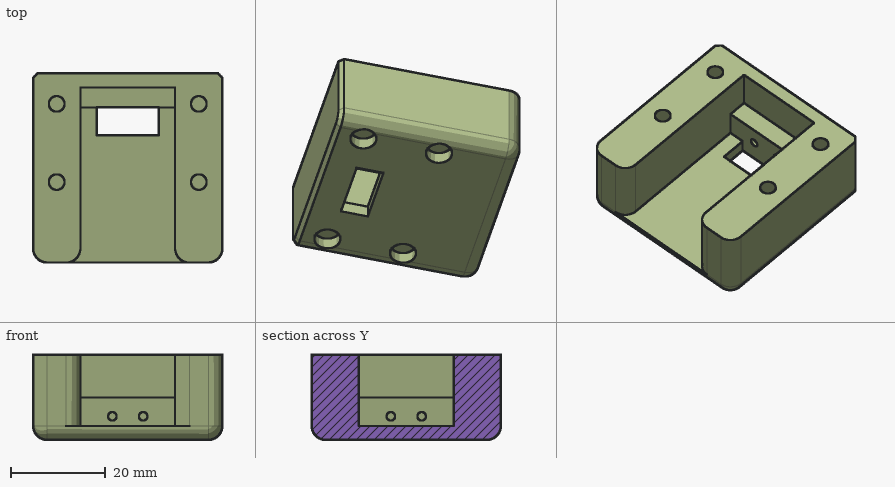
import cadquery as cq

LENGTH_X = 40.0
LENGTH_Y = 40.0
HEIGHT = 18.0
ROUND_RADIUS = 3.0
BACK_CHAMFER = 1.0

SLOT_WIDTH = 20.0
FLOOR_THICKNESS = 3.0
BACK_WALL = 3.0

LEDGE_DEPTH = 4.25
LEDGE_TOP = 9.0
PILOT_DIAMETER = 1.8
PILOT_SPACING = 6.5
PILOT_HEIGHT = 5.0
PILOT_DEPTH = 5.0

WINDOW_WIDTH = 13.0
WINDOW_LENGTH = 5.85

SCREW_DIAMETER = 3.3
SCREW_HEAD_DIAMETER = 5.5
SCREW_HEAD_DEPTH = 3.0
SCREW_WEB = 0.3
SCREW_SPACING_X = 30.0
SCREW_SPACING_Y = 16.5
SCREW_BACK_OFFSET = 6.5

FRONT_Y = -LENGTH_Y / 2
BACK_Y = LENGTH_Y / 2
SLOT_BACK_Y = BACK_Y - BACK_WALL
LEDGE_FRONT_Y = SLOT_BACK_Y - LEDGE_DEPTH


def box_between(width, y_front, y_back, z_bottom, z_top):
    """Box centred on X that spans the given Y and Z ranges."""
    return (
        cq.Workplane("XY")
        .box(width, y_back - y_front, z_top - z_bottom, centered=(True, False, False))
        .translate((0, y_front, z_bottom))
    )


def make_body():
    """Block with rounded front corners and underside and a chamfered back."""
    body = box_between(LENGTH_X, FRONT_Y, BACK_Y, 0, HEIGHT)
    body = body.edges("|Z and <Y").fillet(ROUND_RADIUS)
    body = body.edges("<Z and (not >Y)").fillet(ROUND_RADIUS)
    back_outline = body.faces(">Y").edges("not >Z")
    return back_outline.chamfer(BACK_CHAMFER)


def make_slot():
    """Slot volume above the floor, flared at its mouth and stepped over the ledge."""
    slot = box_between(SLOT_WIDTH, FRONT_Y, SLOT_BACK_Y, FLOOR_THICKNESS, HEIGHT)
    mouth_half_width = SLOT_WIDTH / 2 + ROUND_RADIUS
    mouth_back_y = FRONT_Y + ROUND_RADIUS
    mouth = box_between(2 * mouth_half_width, FRONT_Y, mouth_back_y, FLOOR_THICKNESS, HEIGHT)
    wall_rounds = (
        cq.Workplane("XY", origin=(0, 0, FLOOR_THICKNESS))
        .pushPoints([(side * mouth_half_width, mouth_back_y) for side in (-1, 1)])
        .circle(ROUND_RADIUS)
        .extrude(HEIGHT - FLOOR_THICKNESS)
    )
    ledge = box_between(SLOT_WIDTH, LEDGE_FRONT_Y, SLOT_BACK_Y, FLOOR_THICKNESS, LEDGE_TOP)
    return slot.union(mouth.cut(wall_rounds)).cut(ledge)


def make_window():
    """Rectangular opening through the floor."""
    return box_between(WINDOW_WIDTH, LEDGE_FRONT_Y - WINDOW_LENGTH, LEDGE_FRONT_Y, 0, FLOOR_THICKNESS)


def make_pilot_holes():
    """Blind holes running back into the front face of the ledge."""
    return (
        cq.Workplane("XZ", origin=(0, LEDGE_FRONT_Y, PILOT_HEIGHT))
        .rarray(PILOT_SPACING, 1, 2, 1)
        .circle(PILOT_DIAMETER / 2)
        .extrude(-PILOT_DEPTH)
    )


def make_screw_cylinders(diameter, z_bottom, z_top):
    """One cylinder at each of the four screw positions."""
    pattern_centre_y = BACK_Y - SCREW_BACK_OFFSET - SCREW_SPACING_Y / 2
    return (
        cq.Workplane("XY", origin=(0, pattern_centre_y, z_bottom))
        .rarray(SCREW_SPACING_X, SCREW_SPACING_Y, 2, 2)
        .circle(diameter / 2)
        .extrude(z_top - z_bottom)
    )


screw_shanks = make_screw_cylinders(SCREW_DIAMETER, SCREW_HEAD_DEPTH + SCREW_WEB, HEIGHT)
screw_heads = make_screw_cylinders(SCREW_HEAD_DIAMETER, 0, SCREW_HEAD_DEPTH)

result = (
    make_body()
    .cut(make_slot())
    .cut(make_window())
    .cut(make_pilot_holes())
    .cut(screw_shanks)
    .cut(screw_heads)
)